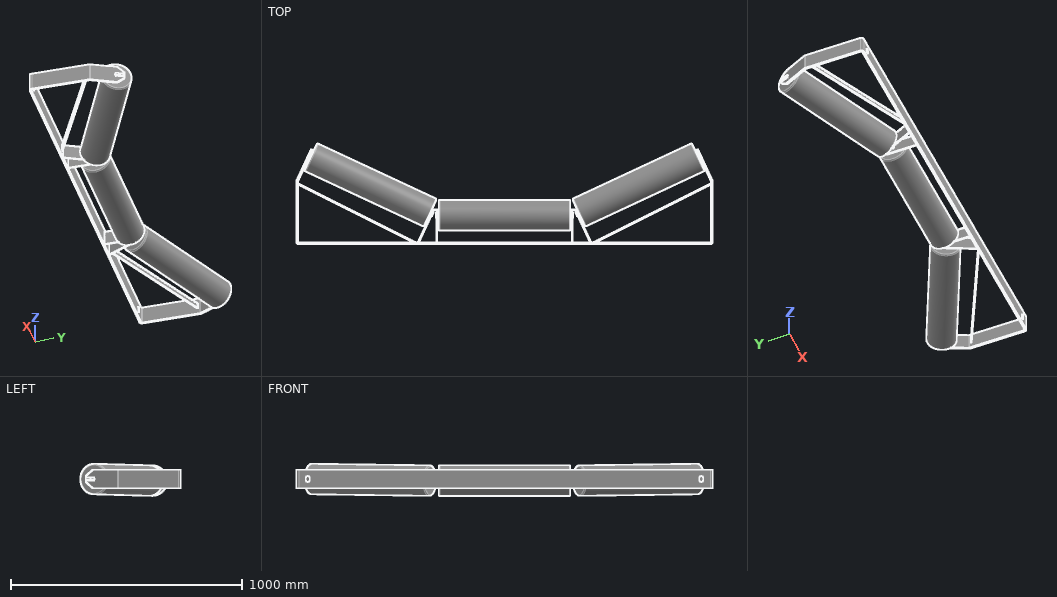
import cadquery as cq
import math

span = 1800.0
bar_thickness = 8.0
bar_width = 80.0
bend_radius = 12.0
mount_slot_x = 850.0
mount_slot_width = 16.0
mount_slot_length = 26.0

roller_diameter = 133.0
roller_length = 570.0
roller_edge_radius = 5.0
shaft_diameter = 20.0
shaft_flat_width = 16.0
end_gap = 5.0

center_axis_y = 125.0
trough_angle = 25.0
wing_center_x = 579.0
wing_center_y = 256.13

inner_seat_drop = 7.0
seat_tip = 32.0
tip_chamfer_along = 32.0
tip_chamfer_across = 26.0
bracket_thickness = 5.0
bracket_top = 151.0

brace_width = 25.0
brace_thickness = 5.0
brace_wall_y = 263.0
brace_foot_x = 383.0

bracket_width = bar_width - 2 * inner_seat_drop

seat_near = roller_length / 2 + end_gap
seat_far = seat_near + bar_thickness

wing_tilt = math.degrees(math.asin(inner_seat_drop / (seat_near + seat_far)))
sin_trough = math.sin(math.radians(trough_angle))
cos_trough = math.cos(math.radians(trough_angle))


def wing_point(along, up):
    """XY point on the right wing, measured along the roller axis and square to it."""
    return (
        wing_center_x + along * cos_trough - up * sin_trough,
        wing_center_y + along * sin_trough + up * cos_trough,
    )


def seat_point_at_x(along, x):
    """Point with the given X on a right wing seat face."""
    return wing_point(along, (wing_center_x + along * cos_trough - x) / sin_trough)


def seat_point_at_y(along, y):
    """Point with the given Y on a right wing seat face."""
    return wing_point(along, (y - wing_center_y - along * sin_trough) / cos_trough)


def flat_body(outline, width):
    """Extrude a closed XY outline to a width centred on Z = 0."""
    return cq.Workplane("XY").polyline(outline).close().extrude(width / 2, both=True)


def mirrored(body):
    """Left-hand copy of a right-hand body."""
    return body.mirror("YZ")


def in_center(body):
    """Move a body built about the X axis to the middle roller's place."""
    return body.translate((0, center_axis_y, -inner_seat_drop))


def in_wing(body):
    """Move a body built about the X axis to the right wing roller's place."""
    tilted = body.rotate((0, 0, 0), (0, 1, 0), -wing_tilt)
    turned = tilted.rotate((0, 0, 0), (0, 0, 1), trough_angle)
    return turned.translate((wing_center_x, wing_center_y, -inner_seat_drop / 2))


def cylinder(diameter, length):
    """Cylinder along the X axis, centred on the origin."""
    return cq.Workplane("YZ", origin=(-length / 2, 0, 0)).circle(diameter / 2).extrude(length)


def shaft():
    """Round shaft with two flats, long enough to pass through a bar seat at either end."""
    length = 2 * seat_far
    flats = cq.Workplane("XY").box(length, shaft_diameter, shaft_flat_width)
    return cylinder(shaft_diameter, length).intersect(flats)


def roller():
    """Barrel with rounded ends and its shaft."""
    barrel = cylinder(roller_diameter, roller_length).edges().fillet(roller_edge_radius)
    return barrel.union(shaft())


def shaft_slot():
    """Room for a shaft and for lifting it out towards +Y."""
    opening = cq.Workplane("XY").box(
        2 * seat_far, 2 * seat_tip, shaft_flat_width, centered=(True, False, True)
    )
    return shaft().union(opening)


def tip_chamfers():
    """Wedges that cut the two corners off the tip of the right bar end."""
    edge = bar_width / 2
    wedge = (
        cq.Workplane("YZ", origin=(seat_near - bar_thickness, 0, 0))
        .moveTo(seat_tip, edge)
        .lineTo(seat_tip - tip_chamfer_along, edge)
        .lineTo(seat_tip, edge - tip_chamfer_across)
        .close()
        .extrude(seat_far - seat_near + 2 * bar_thickness)
    )
    wedges = wedge.union(wedge.mirror("XY"))
    turned = wedges.rotate((0, 0, 0), (0, 0, 1), trough_angle)
    return turned.translate((wing_center_x, wing_center_y, 0))


def fillet_uprights(body, points, radius):
    """Round the Z edges that stand on the given XY points and on their mirror images."""
    for x, y in points:
        for side in (-1, 1):
            near_edge = cq.selectors.NearestToPointSelector((side * x, y, 0))
            body = body.edges("|Z").edges(near_edge).fillet(radius)
    return body


def frame():
    """Bent bar with a mounting slot at each end of its base and a shaft seat at each tip."""
    wall_out = span / 2
    wall_in = wall_out - bar_thickness
    outer_bends = [(wall_out, 0), seat_point_at_x(seat_far, wall_out)]
    inner_bends = [(wall_in, bar_thickness), seat_point_at_x(seat_near, wall_in)]
    tip = [wing_point(seat_far, seat_tip), wing_point(seat_near, seat_tip)]
    right = outer_bends + tip + inner_bends[::-1]
    left = [(-x, y) for x, y in reversed(right)]
    body = flat_body(right + left, bar_width)
    body = fillet_uprights(body, outer_bends, bend_radius)
    body = fillet_uprights(body, inner_bends, bend_radius - bar_thickness)

    mount_slots = (
        cq.Workplane("XZ")
        .pushPoints([(-mount_slot_x, 0), (mount_slot_x, 0)])
        .slot2D(mount_slot_length, mount_slot_width, 90)
        .extrude(-bar_thickness)
    )
    wing_cuts = in_wing(shaft_slot()).union(tip_chamfers())
    return body.cut(mount_slots).cut(wing_cuts).cut(mirrored(wing_cuts))


def bracket():
    """Right inner bracket: an upright leg and a leaning leg joined by a short flat top."""
    leg_far = seat_near + bracket_thickness
    under_top = bracket_top - bracket_thickness
    outline = [
        (seat_near, bar_thickness),
        (seat_near, bracket_top),
        seat_point_at_y(-seat_near, bracket_top),
        seat_point_at_y(-seat_near, bar_thickness),
        seat_point_at_y(-leg_far, bar_thickness),
        seat_point_at_y(-leg_far, under_top),
        (leg_far, under_top),
        (leg_far, bar_thickness),
    ]
    body = flat_body(outline, bracket_width).translate((0, 0, -inner_seat_drop))
    return body.cut(in_center(shaft_slot())).cut(in_wing(shaft_slot()))


def brace():
    """Right brace: a narrow bar from the frame's base up to its side wall."""
    wall_x = span / 2 - bar_thickness
    slope = math.atan2(brace_wall_y - bar_thickness, wall_x - brace_foot_x)
    outline = [
        (brace_foot_x, bar_thickness),
        (wall_x, brace_wall_y),
        (wall_x, brace_wall_y - brace_thickness / math.cos(slope)),
        (brace_foot_x + brace_thickness / math.sin(slope), bar_thickness),
    ]
    return flat_body(outline, brace_width)


bodies = [frame(), in_center(roller())]
for right_body in (in_wing(roller()), bracket(), brace()):
    bodies += [right_body, mirrored(right_body)]

result = cq.Compound.makeCompound([body.val() for body in bodies])